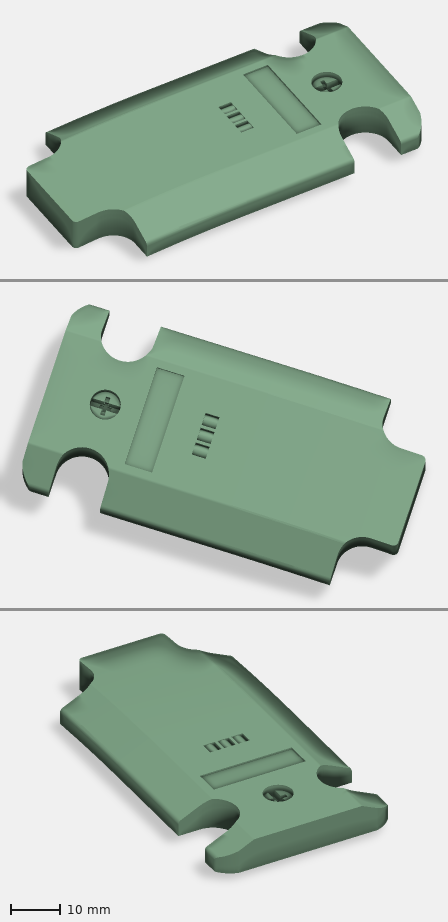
import cadquery as cq
import math


length = 78.0
width = 40.5
thickness = 7.0
slope_angle = 25.0
slope_start_x = 12.55
edge_radius = 1.0

bend_start = 43.3
bend_radius = 375.0
bend_overrun = 3.9

outline_height = 15.6
back_edge_half = 16.2
corner_depth = 2.8
corner_arc_radius = 7.5
corner_round = 1.0
notch_width = 11.0
notch_distance = 12.4
waist_half = 9.75
shoulder_distance = 67.0
tongue_half = 10.0
tongue_corner_round = 1.0

label_length = 21.45
label_width = 5.85
label_distance = 23.0
label_depth = 0.5

screw_distance = 12.5
screw_diameter = 6.3
screw_recess = 1.2
screw_height = 2.7
screw_rim_round = 0.4
slot_top_width = 1.6
slot_floor_width = 1.0
slot_depth = 1.4
cross_arm_length = 4.0
cross_arm_width = 0.9
cross_arm_depth = 0.9
core_length = 2.1
core_height = 2.4
core_width = 0.7
core_depth = 1.9

lens_count = 3
lens_width = 2.65
lens_length = 3.0
lens_pitch = 3.3
lens_distance = 33.9
lens_recess = 0.15
lens_pocket_depth = 2.35

half_width = width / 2
notch_radius = notch_width / 2
screw_radius = screw_diameter / 2
lens_radius = lens_width / 2


def cover_blank():
    """Ridge-shaped section, straight at the back and bent down at the front."""
    shoulder_z = -(half_width - slope_start_x) * math.tan(math.radians(slope_angle))
    section = (
        cq.Sketch()
        .polygon([
            (-half_width, -thickness),
            (half_width, -thickness),
            (half_width, shoulder_z),
            (slope_start_x, 0),
            (-slope_start_x, 0),
            (-half_width, shoulder_z),
            (-half_width, -thickness),
        ])
        .vertices("not <Y")
        .fillet(edge_radius)
    )
    straight = cq.Workplane("XZ").placeSketch(section).extrude(bend_start)
    bend_length = length - bend_start + bend_overrun
    bend_angle = math.degrees(math.asin(bend_length / (bend_radius - thickness)))
    bent = (
        cq.Workplane("XZ", origin=(0, -bend_start, 0))
        .placeSketch(section)
        .revolve(bend_angle, (0, -bend_radius), (1, -bend_radius))
    )
    return straight.union(bent)


def cover_outline():
    """Plan shape of the cover, as a prism reaching above and below it."""
    notch_end_x = waist_half + notch_radius
    notch_back_y = notch_radius - notch_distance
    notch_front_y = -notch_radius - notch_distance
    shoulder_end_x = tongue_half + notch_radius
    half = (
        cq.Workplane("XY")
        .lineTo(back_edge_half, 0)
        .radiusArc((half_width, -corner_depth), corner_arc_radius)
        .lineTo(half_width, notch_back_y)
        .lineTo(notch_end_x, notch_back_y)
        .threePointArc((waist_half, -notch_distance), (notch_end_x, notch_front_y))
        .lineTo(half_width, notch_front_y)
        .lineTo(half_width, -shoulder_distance)
        .lineTo(shoulder_end_x, -shoulder_distance)
        .radiusArc((tongue_half, -shoulder_distance - notch_radius), -notch_radius)
        .lineTo(tongue_half, -length)
        .lineTo(0, -length)
        .close()
        .extrude(outline_height, both=True)
    )
    rounded_corners = [
        ((half_width, -corner_depth, 0), corner_round),
        ((tongue_half, -length, 0), tongue_corner_round),
    ]
    for corner, radius in rounded_corners:
        nearest = cq.selectors.NearestToPointSelector(corner)
        half = half.edges("|Z").edges(nearest).fillet(radius)
    return half.union(half.mirror("YZ"))


def lens_centers():
    first_x = -lens_pitch * (lens_count - 1) / 2
    return [(first_x + i * lens_pitch, -lens_distance) for i in range(lens_count)]


def make_cover():
    label_recess = (
        cq.Workplane("XY")
        .center(0, -label_distance)
        .rect(label_length, label_width)
        .extrude(-label_depth)
    )
    screw_hole = (
        cq.Workplane("XY")
        .center(0, -screw_distance)
        .circle(screw_radius)
        .extrude(-screw_recess - screw_height)
    )
    lens_pockets = (
        cq.Workplane("XY")
        .pushPoints(lens_centers())
        .rect(lens_width, lens_length)
        .extrude(-lens_pocket_depth)
    )
    cover = cover_blank().intersect(cover_outline())
    return cover.cut(label_recess).cut(screw_hole).cut(lens_pockets)


def make_screw():
    """Round head with a tapered slot along Y and a cross-shaped drive."""
    head_plane = cq.Workplane("XY", origin=(0, -screw_distance, -screw_recess))
    head = (
        head_plane.circle(screw_radius)
        .extrude(-screw_height)
        .faces(">Z").edges()
        .fillet(screw_rim_round)
    )
    slot = (
        cq.Workplane("XZ", origin=(0, -screw_distance, -screw_recess))
        .polyline([
            (-slot_top_width / 2, 0),
            (slot_top_width / 2, 0),
            (slot_floor_width / 2, -slot_depth),
            (-slot_floor_width / 2, -slot_depth),
        ])
        .close()
        .extrude(screw_radius, both=True)
    )
    cross_arm = head_plane.rect(cross_arm_length, cross_arm_width).extrude(-cross_arm_depth)
    core_x = head_plane.rect(core_length, core_width).extrude(-core_depth)
    core_y = head_plane.rect(core_width, core_height).extrude(-core_depth)
    return head.cut(slot).cut(cross_arm).cut(core_x).cut(core_y)


def make_lens(center):
    """Block that fills its pocket, with a half-round top just below the cover face.

    The two quarter-round faces stay separate, so an edge runs along the crest.
    """
    center_x, center_y = center
    spring_z = -lens_recess - lens_radius
    return (
        cq.Workplane("XZ", origin=(center_x, center_y + lens_length / 2, 0))
        .moveTo(-lens_radius, -lens_pocket_depth)
        .lineTo(-lens_radius, spring_z)
        .radiusArc((0, -lens_recess), lens_radius)
        .radiusArc((lens_radius, spring_z), lens_radius)
        .lineTo(lens_radius, -lens_pocket_depth)
        .close()
        .extrude(lens_length, clean=False)
    )


cover = make_cover()
screw = make_screw()
lenses = [make_lens(center) for center in lens_centers()]

result = cq.Compound.makeCompound([
    cover.val(),
    screw.val(),
    *[lens.val() for lens in lenses],
])